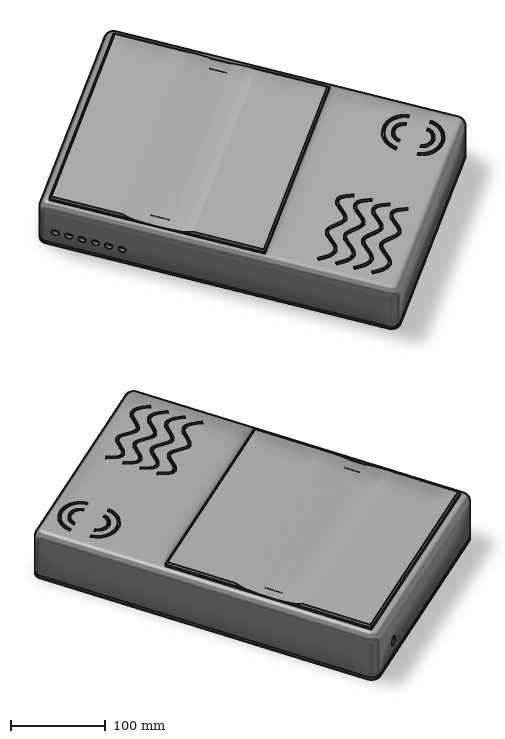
import cadquery as cq

LENGTH = 400.0
WIDTH = 250.0
HEIGHT = 68.0
EDGE_RADIUS = 10.5
BASE_THICKNESS = 4.0

PAD_THICKNESS = 5.0
PAD_LENGTH = 239.0
PAD_WIDTH = WIDTH - 2 * EDGE_RADIUS
PAD_CENTRE_X = EDGE_RADIUS + PAD_LENGTH / 2
PAD_CHAMFER = 2.0
DIP_CHORD = 79.0
DIP_DEPTH = 3.8

HOUSING_TOP = HEIGHT - PAD_THICKNESS
WALL = 5.0
CAVITY_RADIUS = 20.0
ROOF_UNDERSIDE = HOUSING_TOP - WALL

PLUG_INSET = 13.0
PLUG_LENGTH = PAD_LENGTH - 2 * PLUG_INSET
PLUG_WIDTH = PAD_WIDTH - 2 * PLUG_INSET

HOLE_HEIGHT = 23.0
HOLE_REACH = 2 * WALL
VENT_COUNT = 6
VENT_DIAMETER = 8.5
VENT_PITCH = 15.0
FIRST_VENT_X = 20.5
CORD_DIAMETER = 10.0
CORD_Y = 81.0

RING_X = 352.5
RING_Y = 82.5
RING_SHIFT = 10.0
RING_END_GAP = 2.0
RING_OUTER_RADII = (23.5, 13.0)
RING_SLOT_WIDTH = 3.0

WAVE_COUNT = 4
WAVE_PITCH = 20.0
WAVE_WIDTH = 3.0
WAVE_START_X = 316.0
WAVE_START_Y = -13.0
WAVE_BENDS = [(-14.5, -11.0), (1.0, -32.5), (-13.0, -53.0), (3.0, -75.0)]
WAVE_END = (-11.0, -91.0)
WAVE_START_DIRECTION = (-1, -0.4)
WAVE_END_DIRECTION = (-1, -0.7)


def block(centre_x, length, width, bottom, top):
    """Upright block centred on y = 0."""
    return cq.Workplane("XY", origin=(centre_x, 0, bottom)).rect(length, width).extrude(top - bottom)


def case_block(bottom, top):
    return block(LENGTH / 2, LENGTH, WIDTH, bottom, top)


def plug_block():
    return block(PAD_CENTRE_X, PLUG_LENGTH, PLUG_WIDTH, ROOF_UNDERSIDE, HOUSING_TOP)


def make_cavity():
    cavity = block(LENGTH / 2, LENGTH - 2 * WALL, WIDTH - 2 * WALL, BASE_THICKNESS, ROOF_UNDERSIDE)
    return cavity.edges("|Z").fillet(CAVITY_RADIUS)


def vent_holes():
    """Row of holes through the -Y wall."""
    centres = [(FIRST_VENT_X + i * VENT_PITCH, HOLE_HEIGHT) for i in range(VENT_COUNT)]
    return (
        cq.Workplane("XZ", origin=(0, HOLE_REACH - WIDTH / 2, 0))
        .pushPoints(centres)
        .circle(VENT_DIAMETER / 2)
        .extrude(HOLE_REACH)
    )


def cord_hole():
    """Single hole through the -X wall."""
    return cq.Workplane("YZ").center(CORD_Y, HOLE_HEIGHT).circle(CORD_DIAMETER / 2).extrude(HOLE_REACH)


def half_ring_slot(outer_radius, side):
    """Slightly less than half a ring, bulging toward -X (side = -1) or +X (side = 1)."""
    centre_x = RING_X + side * RING_SHIFT
    ring = (
        cq.Workplane("XY", origin=(centre_x, RING_Y, HOUSING_TOP))
        .circle(outer_radius)
        .circle(outer_radius - RING_SLOT_WIDTH)
        .extrude(-WALL)
    )
    kept_half = cq.Workplane(
        "XY", origin=(centre_x + side * (RING_END_GAP + outer_radius), RING_Y, HOUSING_TOP)
    ).box(2 * outer_radius, 2 * outer_radius, 2 * WALL)
    return ring.intersect(kept_half)


def wave_slot(start_x):
    """Rectangle swept along a spline that runs straight toward -Y at each bend."""
    start = cq.Vector(start_x, WAVE_START_Y, HOUSING_TOP)
    points = [start + cq.Vector(x, y) for x, y in [(0, 0), *WAVE_BENDS, WAVE_END]]
    start_direction = cq.Vector(*WAVE_START_DIRECTION)
    bend_directions = [cq.Vector(0, -1)] * len(WAVE_BENDS)
    directions = [start_direction, *bend_directions, cq.Vector(*WAVE_END_DIRECTION)]
    path = cq.Workplane(cq.Edge.makeSpline(points, directions, scale=True))
    start_plane = cq.Plane(origin=start, xDir=(0, 0, 1), normal=start_direction)
    return cq.Workplane(start_plane).rect(2 * WALL, WAVE_WIDTH).sweep(path)


def make_base():
    return case_block(0, BASE_THICKNESS).edges("|Z").fillet(EDGE_RADIUS)


def make_housing():
    housing = case_block(BASE_THICKNESS, HOUSING_TOP).edges("|Z or >Z").fillet(EDGE_RADIUS)
    housing = housing.cut(make_cavity()).cut(plug_block()).cut(vent_holes()).cut(cord_hole())
    for outer_radius in RING_OUTER_RADII:
        for side in (-1, 1):
            housing = housing.cut(half_ring_slot(outer_radius, side))
    for i in range(WAVE_COUNT):
        housing = housing.cut(wave_slot(WAVE_START_X + i * WAVE_PITCH))
    return housing


def make_pad():
    """Chamfered plate with a shallow cylindrical dip across it and a plug below."""
    plate = block(PAD_CENTRE_X, PAD_LENGTH, PAD_WIDTH, HOUSING_TOP, HEIGHT).faces(">Z").chamfer(PAD_CHAMFER)
    dip_radius = (DIP_CHORD**2 / 4 + DIP_DEPTH**2) / (2 * DIP_DEPTH)
    dip = (
        cq.Workplane("XZ", origin=(PAD_CENTRE_X, 0, HEIGHT - DIP_DEPTH + dip_radius))
        .circle(dip_radius)
        .extrude(PAD_WIDTH, both=True)
    )
    return plate.cut(dip).union(plug_block())


base = make_base()
housing = make_housing()
pad = make_pad()
result = cq.Compound.makeCompound([base.val(), housing.val(), pad.val()])